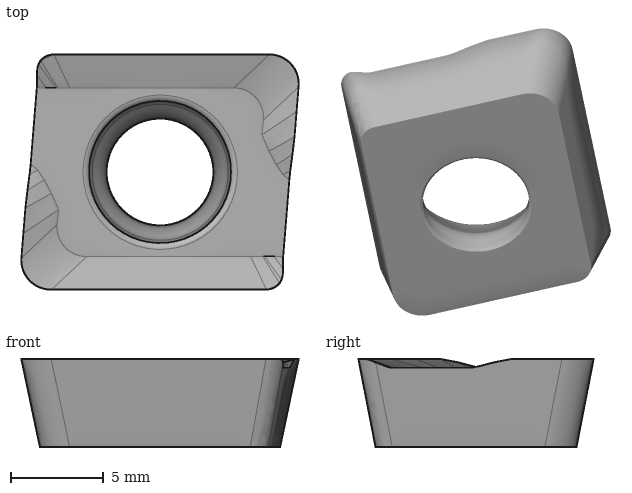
import cadquery as cq
import math

LENGTH = 14.98
WIDTH = 12.7
HEIGHT = 4.76
LEAN = math.radians(4.6)
CLEARANCE = math.radians(11)
NOSE_RADIUS = 1.6
BACK_RADIUS = 0.97

FLOOR_DEPTH = 0.48
FLOOR_Z = HEIGHT - FLOOR_DEPTH
RAKE_WIDTH = 1.8
RAKE_SHIFT_X = 1.92
FLOOR_HALF_WIDTH = WIDTH / 2 - RAKE_WIDTH
OVERRUN = 1.6
CUT_TOP = HEIGHT + 1.5

HOLE_RADIUS = 2.88
BORE_RADIUS = 3.83
MOUTH_RADIUS = 4.16
MOUTH_ROUND = MOUTH_RADIUS - BORE_RADIUS
BORE_END_Z = 3.05
SEAT_ROUND = 0.3
SEAT_TOP_RADIUS = 3.67
SEAT_TOP_Z = 2.79
SEAT_END_Z = 1.05
EXIT_CHAMFER = 0.13

NOSE_X = LENGTH / 2 - NOSE_RADIUS
NOSE_Y = WIDTH / 2 - NOSE_RADIUS
HALF_LENGTH = NOSE_X + NOSE_RADIUS / math.cos(LEAN) - NOSE_Y * math.tan(LEAN)


def outline(z, inset):
    """Rounded parallelogram wire at height z; corner radii do not change with the inset."""
    half_width = WIDTH / 2 - inset
    half_length = HALF_LENGTH - inset / math.cos(LEAN)
    lean_x = half_width * math.tan(LEAN)
    corners = [
        (half_length + lean_x, half_width),
        (-half_length + lean_x, half_width),
        (-half_length - lean_x, -half_width),
        (half_length - lean_x, -half_width),
    ]
    wire = cq.Wire.makePolygon([cq.Vector(x, y, z) for x, y in corners], close=True)
    noses = [v for v in wire.Vertices() if v.X * v.Y > 0]
    wire = wire.fillet2D(NOSE_RADIUS, noses)
    back_x = half_length - lean_x
    backs = [
        v for v in wire.Vertices()
        if v.X * v.Y < 0 and math.isclose(abs(v.X), back_x) and math.isclose(abs(v.Y), half_width)
    ]
    return wire.fillet2D(BACK_RADIUS, backs)


def make_body():
    bottom = outline(0, HEIGHT * math.tan(CLEARANCE))
    top = outline(HEIGHT, 0)
    return cq.Solid.makeLoft([bottom, top], True)


def rake_line(floor_x, floor_y, rim_x, rim_y, drop=0.0):
    """Line from the floor to the cutting edge, which lies `drop` below the top, and beyond."""
    start = cq.Vector(floor_x, floor_y, FLOOR_Z)
    rim = cq.Vector(rim_x, rim_y, HEIGHT - drop)
    return start, start + (rim - start) * OVERRUN


def nose_arc(center, z):
    def point(angle):
        x = center.x + NOSE_RADIUS * math.cos(angle)
        y = center.y + NOSE_RADIUS * math.sin(angle)
        return cq.Vector(x, y, z)

    middle = (math.pi / 2 - LEAN) / 2
    return cq.Edge.makeThreePointArc(point(math.pi / 2), point(middle), point(-LEAN))


def rake_edges():
    """Matching floor and outer edges of the rake strips along the +Y edge and around the nose."""
    back_lines = [
        rake_line(-6.52, FLOOR_HALF_WIDTH, -6.74, 4.7, FLOOR_DEPTH),
        rake_line(-6.15, FLOOR_HALF_WIDTH, -6.73, 5.35, 0.22),
        rake_line(-5.63, FLOOR_HALF_WIDTH, -6.56, 5.83, 0.03),
        rake_line(-5.53, FLOOR_HALF_WIDTH, -6.47, 6.04),
        rake_line(-4.88, FLOOR_HALF_WIDTH, -5.74, WIDTH / 2),
    ]
    run_out_lines = [
        rake_line(5.48, 2.02, 7.37, 3.28),
        rake_line(5.87, 1.14, 7.27, 1.92),
        rake_line(6.26, 0.4, 7.16, 0.97, 0.18),
        rake_line(6.62, -0.12, 7.09, 0.12, 0.4),
        rake_line(6.94, -0.39, 7.05, -0.35, FLOOR_DEPTH),
    ]
    rise = cq.Vector(RAKE_SHIFT_X, RAKE_WIDTH, FLOOR_DEPTH)
    floor_center = cq.Vector(NOSE_X, NOSE_Y, HEIGHT) - rise
    outer_center = floor_center + rise * OVERRUN
    floor_nose = nose_arc(floor_center, FLOOR_Z)
    outer_nose = nose_arc(outer_center, outer_center.z)
    nose_start = (floor_nose.startPoint(), outer_nose.startPoint())
    nose_end = (floor_nose.endPoint(), outer_nose.endPoint())

    def strips(lines):
        return [
            (cq.Edge.makeLine(a[0], b[0]), cq.Edge.makeLine(a[1], b[1]))
            for a, b in zip(lines, lines[1:])
        ]

    edges = strips(back_lines + [nose_start])
    edges.append((floor_nose, outer_nose))
    return edges + strips([nose_end] + run_out_lines)


def raised(edge):
    """Copy of an edge flattened into the plane z = CUT_TOP."""
    start, end = edge.startPoint(), edge.endPoint()
    if edge.geomType() == "CIRCLE":
        return edge.translate(cq.Vector(0, 0, CUT_TOP - start.z))
    return cq.Edge.makeLine(
        cq.Vector(start.x, start.y, CUT_TOP), cq.Vector(end.x, end.y, CUT_TOP)
    )


def half_turn(edge):
    return edge.rotate(cq.Vector(0, 0, 0), cq.Vector(0, 0, 1), 180)


def make_recess():
    """Solid above the floor and the rake faces, to be cut from the body."""
    half = rake_edges()
    other_half = [(half_turn(floor), half_turn(outer)) for floor, outer in half]
    strips = half + other_half

    floor_rim = [floor for floor, _ in strips]
    outer_rim = [outer for _, outer in strips]
    for first, second in ((half, other_half), (other_half, half)):
        floor_end, outer_end = (edge.endPoint() for edge in first[-1])
        floor_start, outer_start = (edge.startPoint() for edge in second[0])
        side = cq.Edge.makeLine(outer_end, outer_start)
        floor_rim.append(cq.Edge.makeLine(floor_end, outer_end))
        floor_rim.append(side)
        floor_rim.append(cq.Edge.makeLine(outer_start, floor_start))
        outer_rim.append(side)

    top_rim = [raised(edge) for edge in outer_rim]
    faces = [cq.Face.makeRuledSurface(floor, outer) for floor, outer in strips]
    faces += [cq.Face.makeRuledSurface(low, high) for low, high in zip(outer_rim, top_rim)]
    for rim in (floor_rim, top_rim):
        faces.append(cq.Face.makeFromWires(cq.Wire.combine(rim)[0]))
    return cq.Solid.makeSolid(cq.Shell.makeShell(faces)).fix()


def make_hole():
    """Revolved screw hole: rounded mouth, bore, curved screw seat and chamfered exit."""
    seat_drop = SEAT_TOP_Z - SEAT_END_Z
    seat_widening = SEAT_TOP_RADIUS - HOLE_RADIUS
    seat_radius = (seat_drop**2 + seat_widening**2) / (2 * seat_widening)
    return (
        cq.Workplane("XZ")
        .moveTo(0, 0)
        .lineTo(HOLE_RADIUS + EXIT_CHAMFER, 0)
        .lineTo(HOLE_RADIUS, EXIT_CHAMFER)
        .lineTo(HOLE_RADIUS, SEAT_END_Z)
        .radiusArc((SEAT_TOP_RADIUS, SEAT_TOP_Z), seat_radius)
        .radiusArc((BORE_RADIUS, BORE_END_Z), -SEAT_ROUND)
        .lineTo(BORE_RADIUS, FLOOR_Z - MOUTH_ROUND)
        .radiusArc((MOUTH_RADIUS, FLOOR_Z), MOUTH_ROUND)
        .lineTo(MOUTH_RADIUS, CUT_TOP)
        .lineTo(0, CUT_TOP)
        .close()
        .revolve(360, (0, 0, 0), (0, 1, 0))
    )


result = cq.Workplane(make_body()).cut(cq.Workplane(make_recess())).cut(make_hole())